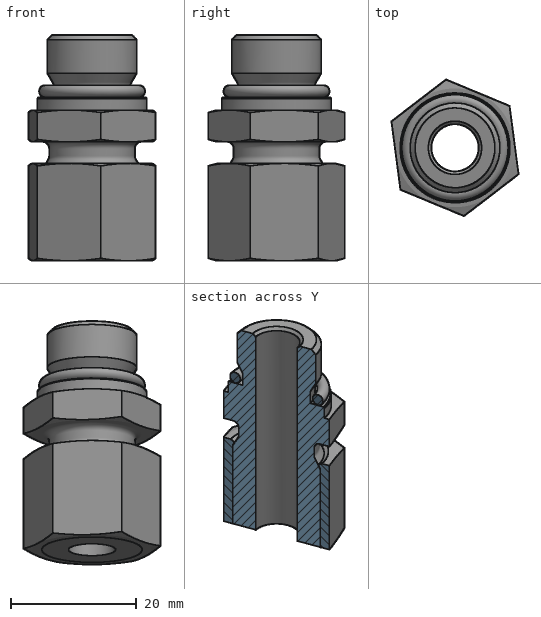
import cadquery as cq
import math

TOTAL_HEIGHT = 36.0
NUT_HEIGHT = 15.5
HEX_BASE = 18.95
HEX_HEIGHT = 5.08
COLLAR_HEIGHT = 2.0
THREAD_BASE = 29.88

ACROSS_FLATS = 19.0
CORNER_ANGLE = 37.5
HEX_FACE_DIAMETER = 18.95
HEX_CHAMFER_ANGLE = 15.0

BORE_DIAMETER = 7.5
STUD_DIAMETER = 14.3
GROOVE_DIAMETER = 12.3
COLLAR_DIAMETER = 17.5
NECK_DIAMETER = 13.7
SPIGOT_DIAMETER = 16.0

STUD_CHAMFER = 0.8
BORE_CHAMFER = 0.5
COLLAR_CHAMFER = 0.18
UNDERCUT_RADIUS = 1.0
NECK_FILLET_BASE = 16.65
RUNOUT_ANGLE = 30.0

MOUTH_DIAMETER = 16.55
MOUTH_ANGLE = 60.0
MOUTH_DEPTH = 0.55

RING_CORD = 1.95
RING_OUTER_DIAMETER = 16.92

HEX_TOP = HEX_BASE + HEX_HEIGHT
COLLAR_TOP = HEX_TOP + COLLAR_HEIGHT
CORNER_RADIUS = ACROSS_FLATS / math.sqrt(3)
RUNOUT_SLOPE = math.tan(math.radians(RUNOUT_ANGLE))

ARC_RISE = UNDERCUT_RADIUS * (1 - math.cos(math.radians(RUNOUT_ANGLE)))
ARC_LENGTH = UNDERCUT_RADIUS * math.sin(math.radians(RUNOUT_ANGLE))
HALF_ARC_RISE = UNDERCUT_RADIUS * (1 - math.cos(math.radians(RUNOUT_ANGLE / 2)))
HALF_ARC_LENGTH = UNDERCUT_RADIUS * math.sin(math.radians(RUNOUT_ANGLE / 2))


def chamfered_hexagon(base, height):
    """Hexagonal prism whose corners are turned off conically at both ends."""
    prism = (
        cq.Workplane("XY", origin=(0, 0, base))
        .transformed(rotate=(0, 0, CORNER_ANGLE))
        .polygon(6, 2 * CORNER_RADIUS)
        .extrude(height)
    )
    face_radius = HEX_FACE_DIAMETER / 2
    corner_drop = (CORNER_RADIUS - face_radius) * math.tan(math.radians(HEX_CHAMFER_ANGLE))
    envelope = (
        cq.Workplane("XZ")
        .moveTo(0, base)
        .lineTo(face_radius, base)
        .lineTo(CORNER_RADIUS, base + corner_drop)
        .lineTo(CORNER_RADIUS, base + height - corner_drop)
        .lineTo(face_radius, base + height)
        .lineTo(0, base + height)
        .close()
        .revolve(360, (0, 0, 0), (0, 1, 0))
    )
    return prism.intersect(envelope)


def make_stud():
    """Collar, sealing groove and stud above the body hexagon."""
    stud_radius = STUD_DIAMETER / 2
    groove_radius = GROOVE_DIAMETER / 2
    collar_radius = COLLAR_DIAMETER / 2
    cone_base_radius = groove_radius + ARC_RISE
    cone_base = THREAD_BASE - (stud_radius - cone_base_radius) / RUNOUT_SLOPE
    arc_base = cone_base - ARC_LENGTH
    return (
        cq.Workplane("XZ")
        .moveTo(0, HEX_TOP)
        .lineTo(collar_radius, HEX_TOP)
        .lineTo(collar_radius, COLLAR_TOP - COLLAR_CHAMFER)
        .lineTo(collar_radius - COLLAR_CHAMFER, COLLAR_TOP)
        .lineTo(groove_radius, COLLAR_TOP)
        .lineTo(groove_radius, arc_base)
        .threePointArc(
            (groove_radius + HALF_ARC_RISE, arc_base + HALF_ARC_LENGTH),
            (cone_base_radius, cone_base),
        )
        .lineTo(stud_radius, THREAD_BASE)
        .lineTo(stud_radius, TOTAL_HEIGHT - STUD_CHAMFER)
        .lineTo(stud_radius - STUD_CHAMFER, TOTAL_HEIGHT)
        .lineTo(0, TOTAL_HEIGHT)
        .close()
        .revolve(360, (0, 0, 0), (0, 1, 0))
    )


def make_spigot():
    """Necked shank below the body hexagon, widening to the portion held inside the nut."""
    neck_radius = NECK_DIAMETER / 2
    spigot_radius = SPIGOT_DIAMETER / 2
    cone_top_radius = neck_radius + ARC_RISE
    cone_top = NECK_FILLET_BASE - ARC_LENGTH
    cone_base = cone_top - (spigot_radius - cone_top_radius) / RUNOUT_SLOPE
    diagonal = UNDERCUT_RADIUS * (1 - math.sqrt(0.5))
    return (
        cq.Workplane("XZ")
        .moveTo(0, 0)
        .lineTo(spigot_radius, 0)
        .lineTo(spigot_radius, cone_base)
        .lineTo(cone_top_radius, cone_top)
        .threePointArc(
            (neck_radius + HALF_ARC_RISE, NECK_FILLET_BASE - HALF_ARC_LENGTH),
            (neck_radius, NECK_FILLET_BASE),
        )
        .lineTo(neck_radius, HEX_BASE - UNDERCUT_RADIUS)
        .threePointArc(
            (neck_radius + diagonal, HEX_BASE - diagonal),
            (neck_radius + UNDERCUT_RADIUS, HEX_BASE),
        )
        .lineTo(0, HEX_BASE)
        .close()
        .revolve(360, (0, 0, 0), (0, 1, 0))
    )


def make_body(spigot):
    """Fitting body: hexagon, stud and spigot around one through bore."""
    bore = cq.Workplane("XY").circle(BORE_DIAMETER / 2).extrude(TOTAL_HEIGHT)
    fitting = chamfered_hexagon(HEX_BASE, HEX_HEIGHT).union(make_stud()).union(spigot).cut(bore)
    bore_rim = cq.selectors.RadiusNthSelector(0)
    return fitting.faces(">Z").edges(bore_rim).chamfer(BORE_CHAMFER)


def make_nut(spigot):
    """Hexagon nut with a countersunk mouth and a bore that matches the spigot."""
    top_radius = MOUTH_DIAMETER / 2
    bottom_radius = top_radius - MOUTH_DEPTH * math.tan(math.radians(MOUTH_ANGLE))
    mouth_base = cq.Vector(0, 0, NUT_HEIGHT - MOUTH_DEPTH)
    mouth = cq.Workplane(cq.Solid.makeCone(bottom_radius, top_radius, MOUTH_DEPTH, pnt=mouth_base))
    return chamfered_hexagon(0, NUT_HEIGHT).cut(mouth).cut(spigot)


def make_ring():
    """O-ring resting on the collar around the sealing groove."""
    cord_radius = RING_CORD / 2
    centre_radius = RING_OUTER_DIAMETER / 2 - cord_radius
    return (
        cq.Workplane("XZ")
        .moveTo(centre_radius, COLLAR_TOP + cord_radius)
        .circle(cord_radius)
        .revolve(360, (0, 0, 0), (0, 1, 0))
    )


spigot = make_spigot()
body = make_body(spigot)
nut = make_nut(spigot)
ring = make_ring()

result = cq.Compound.makeCompound([body.val(), nut.val(), ring.val()])